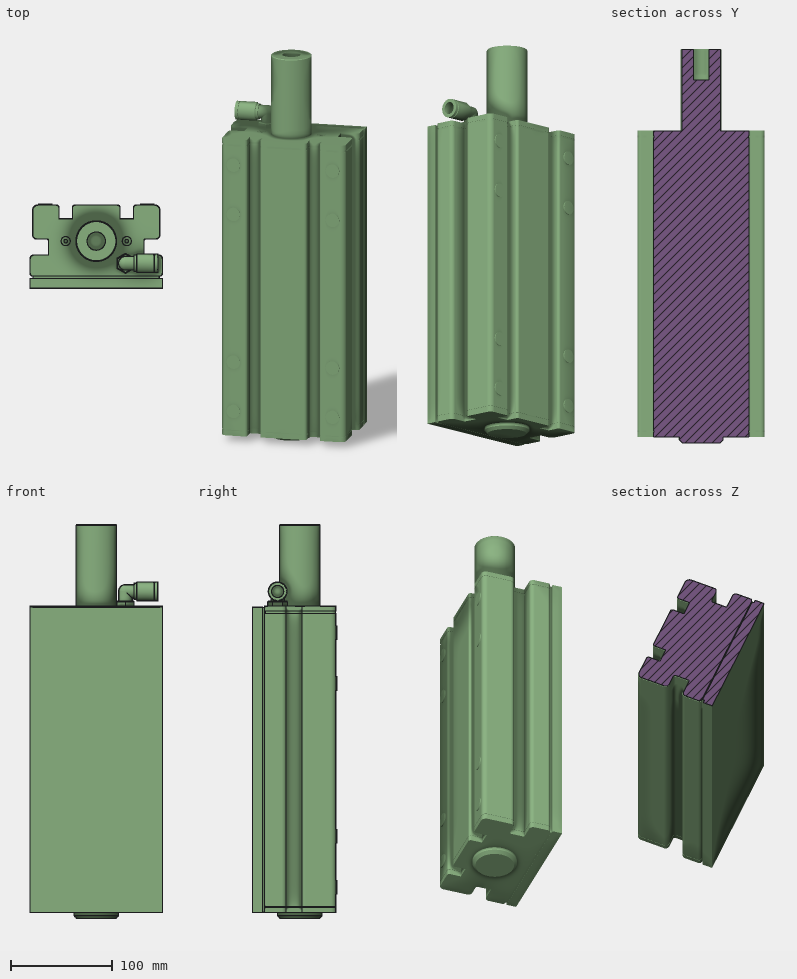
import cadquery as cq
import math

BODY_WIDTH = 130.25
PLATE_HEIGHT = 300.0
PLATE_THICKNESS = 10.0
STRIP_THICKNESS = 2.0
STRIP_END_GAP = 0.2

HOUSING_HEIGHT = 301.0
HOUSING_FRONT_Y = PLATE_THICKNESS + STRIP_THICKNESS
HOUSING_BACK_Y = 82.0
UPPER_WIDTH = 125.0
CORNER_RADIUS = 5.0
SIDE_SLOT_LOW_Y = 33.0
SIDE_SLOT_HIGH_Y = 48.5
SIDE_SLOT_FLOOR_X = 47.0
SIDE_SLOT_EDGE_RADIUS = 4.0
SIDE_SLOT_ROOT_RADIUS = 1.8
FRONT_EDGE_RADIUS = 3.0
BACK_SLOT_X = 30.0
BACK_SLOT_WIDTH = 13.0
BACK_SLOT_DEPTH = 13.5
BACK_SLOT_EDGE_RADIUS = 2.5

LID_THICKNESS = 5.0
TOP_GASKET_THICKNESS = 2.0
BOTTOM_GASKET_THICKNESS = 1.0
GASKET_RECESS = 0.3

ROD_Y = 46.5
ROD_DIAMETER = 40.0
ROD_LENGTH = 80.0
ROD_CHAMFER = 0.7
ROD_BORE_DIAMETER = 18.0
ROD_BORE_DEPTH = 30.0

CAP_DIAMETER = 44.0
CAP_END_DIAMETER = 38.0
CAP_RIM_HEIGHT = 3.0
CAP_HEIGHT = 6.0

SCREW_X = 30.0
SCREW_HOLE_DIAMETER = 9.0
SCREW_HEAD_RECESS = 0.2
SCREW_SOCKET_DIAMETER = 3.5
SCREW_SOCKET_DEPTH = 3.0

BUTTON_DIAMETER = 13.5
BUTTON_HEIGHT = 1.0
BUTTON_X = 50.0
BUTTON_PITCH_INNER = 150.0
BUTTON_PITCH_OUTER = 250.0

FITTING_X = 28.7
FITTING_Y = 24.7
HEX_ACROSS_FLATS = 17.0
HEX_ACROSS_CORNERS = HEX_ACROSS_FLATS / math.cos(math.pi / 6)
HEX_HEIGHT = 5.0
HEX_CHAMFER = 0.7
OUTLET_HEIGHT = 14.5
ELBOW_DIAMETER = 13.5
OUTLET_Z = HOUSING_HEIGHT + OUTLET_HEIGHT
NECK_START_X = 37.3
NECK_DIAMETER = 16.0
BARREL_START_X = 39.5
BARREL_DIAMETER = 18.5
BARREL_CHAMFER = 0.7
COLLAR_START_X = 56.5
COLLAR_DIAMETER = BARREL_DIAMETER
GROOVE_WIDTH = 0.8
GROOVE_DIAMETER = 17.0
FITTING_END_X = 60.5
TUBE_DIAMETER = 12.0
TUBE_DEPTH = 15.0


def box(x_size, y_min, y_max, z_min, z_max):
    """Block centred on X = 0 and spanning the given Y and Z ranges."""
    return (
        cq.Workplane("XY")
        .box(x_size, y_max - y_min, z_max - z_min, centered=(True, False, False))
        .translate((0, y_min, z_min))
    )


def z_cylinder(x, y, z, diameter, height):
    return cq.Workplane("XY", origin=(x, y, z)).circle(diameter / 2).extrude(height)


def x_cylinder(x_start, x_end, diameter):
    """Cylinder on the outlet axis of the elbow fitting."""
    return (
        cq.Workplane("YZ", origin=(x_start, FITTING_Y, OUTLET_Z))
        .circle(diameter / 2)
        .extrude(x_end - x_start)
    )


def fillet_at(solid, corners, radius):
    """Round the vertical edges at the given XY corners, on both sides of X = 0."""
    reach = 0.1
    for x, y in corners:
        for side in (-1, 1):
            selector = cq.selectors.BoxSelector(
                (side * x - reach, y - reach, -reach),
                (side * x + reach, y + reach, HOUSING_HEIGHT + reach),
            )
            solid = solid.edges(selector).fillet(radius)
    return solid


def make_profile():
    """Full-height housing with slots in both sides and in the back."""
    half_width = BODY_WIDTH / 2
    half_upper = UPPER_WIDTH / 2
    slot_inner = BACK_SLOT_X - BACK_SLOT_WIDTH / 2
    slot_outer = BACK_SLOT_X + BACK_SLOT_WIDTH / 2
    slot_floor = HOUSING_BACK_Y - BACK_SLOT_DEPTH
    half_outline = [
        (0, HOUSING_FRONT_Y),
        (half_width, HOUSING_FRONT_Y),
        (half_width, SIDE_SLOT_LOW_Y),
        (SIDE_SLOT_FLOOR_X, SIDE_SLOT_LOW_Y),
        (SIDE_SLOT_FLOOR_X, SIDE_SLOT_HIGH_Y),
        (half_upper, SIDE_SLOT_HIGH_Y),
        (half_upper, HOUSING_BACK_Y),
        (slot_outer, HOUSING_BACK_Y),
        (slot_outer, slot_floor),
        (slot_inner, slot_floor),
        (slot_inner, HOUSING_BACK_Y),
        (0, HOUSING_BACK_Y),
    ]
    profile = cq.Workplane("XY").polyline(half_outline).mirrorY().extrude(HOUSING_HEIGHT)

    profile = fillet_at(profile, [(half_width, HOUSING_FRONT_Y)], FRONT_EDGE_RADIUS)
    profile = fillet_at(profile, [(half_upper, HOUSING_BACK_Y)], CORNER_RADIUS)
    side_slot_edges = [(half_width, SIDE_SLOT_LOW_Y), (half_upper, SIDE_SLOT_HIGH_Y)]
    profile = fillet_at(profile, side_slot_edges, SIDE_SLOT_EDGE_RADIUS)
    profile = fillet_at(profile, [(SIDE_SLOT_FLOOR_X, SIDE_SLOT_HIGH_Y)], SIDE_SLOT_ROOT_RADIUS)
    back_slot_edges = [(slot_inner, HOUSING_BACK_Y), (slot_outer, HOUSING_BACK_Y)]
    return fillet_at(profile, back_slot_edges, BACK_SLOT_EDGE_RADIUS)


def recess_gasket(housing, z_min, thickness):
    """Pull the outline in a little over the thickness of a gasket."""
    outline = housing.faces("<Z").val().outerWire()
    inset_outline = outline.offset2D(-GASKET_RECESS)[0]
    core = cq.Workplane("XY").add(inset_outline).toPending().extrude(thickness)
    core = core.translate((0, 0, z_min))
    band = box(2 * BODY_WIDTH, 0, 2 * HOUSING_BACK_Y, z_min, z_min + thickness)
    return housing.cut(band.cut(core))


def make_housing():
    housing = make_profile()
    top_gasket_z = HOUSING_HEIGHT - LID_THICKNESS - TOP_GASKET_THICKNESS
    housing = recess_gasket(housing, top_gasket_z, TOP_GASKET_THICKNESS)
    return recess_gasket(housing, LID_THICKNESS, BOTTOM_GASKET_THICKNESS)


def make_plate():
    """Front mounting plate and the strip that joins it to the housing."""
    plate = box(BODY_WIDTH, 0, PLATE_THICKNESS, 0, PLATE_HEIGHT)
    strip_width = BODY_WIDTH - 2 * FRONT_EDGE_RADIUS
    strip_top = PLATE_HEIGHT - STRIP_END_GAP
    strip = box(strip_width, PLATE_THICKNESS, HOUSING_FRONT_Y, STRIP_END_GAP, strip_top)
    return plate.union(strip)


def make_rod():
    rod = z_cylinder(0, ROD_Y, HOUSING_HEIGHT, ROD_DIAMETER, ROD_LENGTH)
    rod = rod.faces(">Z").chamfer(ROD_CHAMFER)
    return rod.faces(">Z").workplane().hole(ROD_BORE_DIAMETER, ROD_BORE_DEPTH)


def make_cap():
    """Flat-bottomed cap: short cylindrical rim, then a cone."""
    rim = z_cylinder(0, ROD_Y, -CAP_RIM_HEIGHT, CAP_DIAMETER, CAP_RIM_HEIGHT)
    cone = (
        cq.Workplane("XY", origin=(0, ROD_Y, -CAP_RIM_HEIGHT))
        .circle(CAP_DIAMETER / 2)
        .workplane(offset=CAP_RIM_HEIGHT - CAP_HEIGHT)
        .circle(CAP_END_DIAMETER / 2)
        .loft()
    )
    return rim.union(cone)


def make_buttons():
    buttons = cq.Workplane("XY")
    for pitch in (BUTTON_PITCH_INNER, BUTTON_PITCH_OUTER):
        buttons = buttons.union(
            cq.Workplane("XZ", origin=(0, HOUSING_BACK_Y, PLATE_HEIGHT / 2))
            .rect(2 * BUTTON_X, pitch, forConstruction=True)
            .vertices()
            .circle(BUTTON_DIAMETER / 2)
            .extrude(-BUTTON_HEIGHT)
        )
    return buttons


def make_screw_recesses():
    """Shallow screw head pockets with a socket in each."""
    recesses = cq.Workplane("XY")
    for x in (-SCREW_X, SCREW_X):
        head_z = HOUSING_HEIGHT - SCREW_HEAD_RECESS
        head = z_cylinder(x, ROD_Y, head_z, SCREW_HOLE_DIAMETER, SCREW_HEAD_RECESS)
        socket = z_cylinder(x, ROD_Y, head_z, SCREW_SOCKET_DIAMETER, -SCREW_SOCKET_DEPTH)
        recesses = recesses.union(head).union(socket)
    return recesses


def make_fitting():
    base = (
        cq.Workplane("XY", origin=(FITTING_X, FITTING_Y, HOUSING_HEIGHT))
        .transformed(rotate=(0, 0, 90))
        .polygon(6, HEX_ACROSS_CORNERS)
        .extrude(HEX_HEIGHT)
        .faces(">Z")
        .chamfer(HEX_CHAMFER)
    )
    riser = z_cylinder(FITTING_X, FITTING_Y, HOUSING_HEIGHT, ELBOW_DIAMETER, OUTLET_HEIGHT)
    elbow_centre = (FITTING_X, FITTING_Y, OUTLET_Z)
    elbow_ball = cq.Workplane("XY", origin=elbow_centre).sphere(ELBOW_DIAMETER / 2)
    arm = x_cylinder(FITTING_X, NECK_START_X, ELBOW_DIAMETER)
    neck = x_cylinder(NECK_START_X, BARREL_START_X, NECK_DIAMETER)
    barrel = x_cylinder(BARREL_START_X, COLLAR_START_X, BARREL_DIAMETER)
    barrel = barrel.faces("<X").chamfer(BARREL_CHAMFER)
    groove = x_cylinder(COLLAR_START_X, COLLAR_START_X + GROOVE_WIDTH, GROOVE_DIAMETER)
    collar = x_cylinder(COLLAR_START_X + GROOVE_WIDTH, FITTING_END_X, COLLAR_DIAMETER)

    fitting = base
    for piece in (riser, elbow_ball, arm, neck, barrel, groove, collar):
        fitting = fitting.union(piece)
    return fitting.cut(x_cylinder(FITTING_END_X - TUBE_DEPTH, FITTING_END_X, TUBE_DIAMETER))


result = make_housing()
for part in (make_plate(), make_rod(), make_cap(), make_buttons(), make_fitting()):
    result = result.union(part)
result = result.cut(make_screw_recesses())